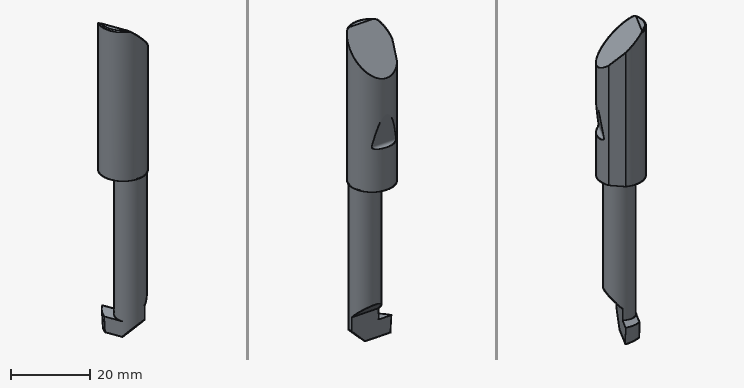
import cadquery as cq
import math

shank_diameter = 12.7
shank_radius = shank_diameter / 2
total_length = 88.9
neck_length = 45.72
shank_length = total_length - neck_length

bevel_start_y = -4.6
bevel_angle = 45.0
end_chamfer = 0.35

flat_normal_angle = 160.0

notch_depth = 1.25
notch_corner_radius = 0.8
notch_bottom_z = 58.0
notch_top_z = 67.5

neck_diameter = 8.38
neck_radius = neck_diameter / 2
neck_x = shank_radius - neck_radius
rake_end_z = 8.2

head_tip_x = -6.05
head_height = 4.95
head_flank_x = -3.1
head_flank_bulge = 0.35
head_flank_lean = 0.3
head_top_relief_angle = 6.0


def side_profile(points, width):
    """Prism along X, centred on X = 0, from (Y, Z) points."""
    return cq.Workplane("YZ").polyline(points).close().extrude(width / 2, both=True)


def make_shank():
    shank = (
        cq.Workplane("XY")
        .workplane(offset=neck_length)
        .circle(shank_radius)
        .extrude(shank_length)
        .faces(">Z")
        .chamfer(end_chamfer)
    )
    bevel_drop = (shank_diameter - bevel_start_y) * math.tan(math.radians(bevel_angle))
    bevel = side_profile(
        [
            (bevel_start_y, total_length),
            (shank_diameter, total_length),
            (shank_diameter, total_length - bevel_drop),
        ],
        2 * shank_diameter,
    )
    return shank.cut(bevel)


def make_flat_cutter():
    flat_distance = shank_radius * math.cos(math.radians(180 - flat_normal_angle))
    block = (
        cq.Workplane("XY")
        .workplane(offset=neck_length)
        .center(flat_distance + shank_radius, 0)
        .rect(shank_diameter, 2 * shank_diameter)
        .extrude(shank_length)
    )
    return block.rotate((0, 0, 0), (0, 0, 1), flat_normal_angle)


def make_notch_cutter():
    floor_y = shank_radius - notch_depth
    corner_top_z = notch_bottom_z + notch_corner_radius
    corner_end_y = floor_y + notch_corner_radius
    return (
        cq.Workplane("YZ")
        .moveTo(shank_radius, notch_top_z)
        .lineTo(floor_y, corner_top_z)
        .radiusArc((corner_end_y, notch_bottom_z), -notch_corner_radius)
        .lineTo(shank_radius, notch_bottom_z)
        .close()
        .extrude(shank_radius, both=True)
    )


def make_neck():
    neck = cq.Workplane("XY").center(neck_x, 0).circle(neck_radius).extrude(neck_length)
    rake = side_profile(
        [
            (0, 0),
            (neck_diameter, 0),
            (neck_diameter, rake_end_z + neck_diameter),
            (0, rake_end_z),
        ],
        2 * shank_diameter,
    )
    corner = (
        cq.Workplane("XZ")
        .polyline([(neck_x, 0), (shank_radius, 0), (shank_radius, neck_radius)])
        .close()
        .extrude(shank_radius, both=True)
    )
    return neck.cut(rake).cut(corner)


def draw_head_section(plane, flank_shift):
    """Head outline at one height; the curved flank is moved along X by flank_shift."""
    front_y = -neck_radius
    tip = (head_tip_x + flank_shift, 0)
    flank_end = (head_flank_x + flank_shift, front_y)
    return (
        plane.moveTo(neck_x, 0)
        .lineTo(*tip)
        .sagittaArc(flank_end, -head_flank_bulge)
        .lineTo(neck_x, front_y)
        .close()
    )


def make_head():
    bottom = draw_head_section(cq.Workplane("XY"), head_flank_lean)
    head = draw_head_section(bottom.workplane(offset=head_height), 0).loft(ruled=True)
    relief_drop = neck_radius * math.tan(math.radians(head_top_relief_angle))
    relief = side_profile(
        [
            (0, head_height),
            (-neck_radius, head_height),
            (-neck_radius, head_height - relief_drop),
        ],
        2 * shank_diameter,
    )
    return head.cut(relief)


result = make_shank().cut(make_flat_cutter()).cut(make_notch_cutter()).union(make_neck()).union(make_head())